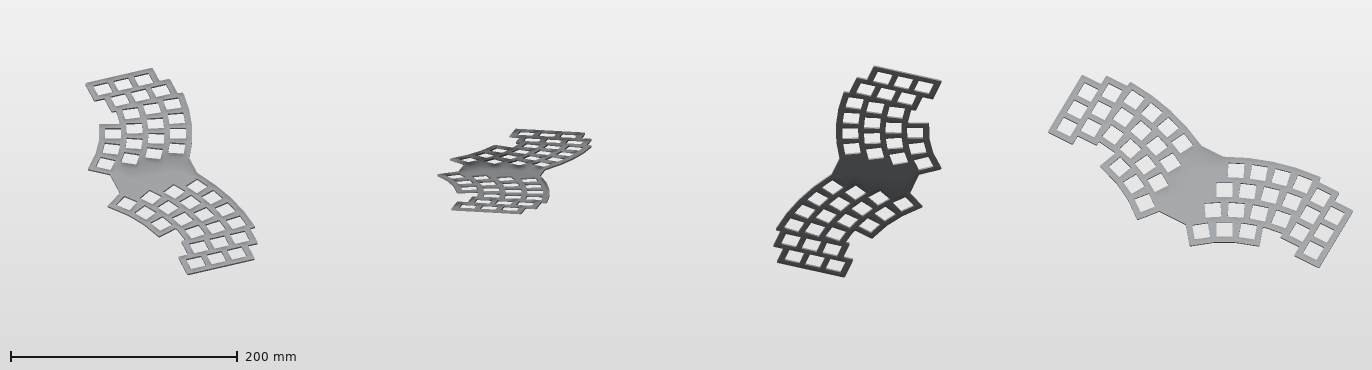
import cadquery as cq
import math


thickness = 1.5
plate_width = 272.7
outline_radius = 1.0

pitch = 19.05
pad_size = 25.0
hole_size = 14.0
hole_corner_radius = 0.3

curved_rows = 4
keys_per_row = 4
bottom_row_first_key = 2
top_row_radius = 180.8
crown_y = 44.0

straight_rows = 3
outer_column_x = -plate_width / 2 + pad_size / 2
inner_column_x = outer_column_x + pitch
inner_column_top_y = crown_y - pitch / 4
outer_column_top_y = inner_column_top_y - pitch / 2

arc_centre_x = inner_column_x
arc_centre_y = crown_y - top_row_radius

panel_top_y = 32.5
panel_bottom_y = -40.6

RIGHT = 0.0
TOP = math.pi / 2
LEFT = math.pi
BOTTOM = -math.pi / 2


def straight_column(x, top_y):
    """Places of the keys in one straight column, from the top down."""
    return [(x, top_y - row * pitch, 0.0) for row in range(straight_rows)]


def curved_row(row):
    """Places of the keys in one curved row; the inner corners of pitch-sized squares touch."""
    radius = top_row_radius - row * pitch
    step = 2 * math.atan2(pitch / 2, radius - pitch / 2)
    first_key = bottom_row_first_key if row == curved_rows - 1 else 1
    places = []
    for key in range(first_key, keys_per_row + 1):
        angle = key * step
        x = arc_centre_x + radius * math.sin(angle)
        y = arc_centre_y + radius * math.cos(angle)
        places.append((x, y, -angle))
    return places


def pad_side(place, side):
    """Line along one side of a key's pad: its normal's x and y, and its distance from the origin."""
    x, y, turn = place
    normal_x = math.cos(turn + side)
    normal_y = math.sin(turn + side)
    return normal_x, normal_y, x * normal_x + y * normal_y + pad_size / 2


def crossing(first, second):
    """Point where two lines, each given by normal and distance, cross."""
    ax, ay, a = first
    bx, by, b = second
    determinant = ax * by - ay * bx
    return (a * by - b * ay) / determinant, (ax * b - bx * a) / determinant


def left_outline(outer_column, inner_column, rows):
    """Corners of the left half, anticlockwise from the panel's top to its bottom."""
    top_row = rows[0]
    bottom_row = rows[-1]
    exposed_keys = rows[-2][:bottom_row_first_key]

    sides = [(0.0, 1.0, panel_top_y)]
    sides += [pad_side(place, TOP) for place in reversed(top_row)]
    sides.append(pad_side(top_row[0], LEFT))
    sides.append(pad_side(inner_column[0], TOP))
    sides.append(pad_side(inner_column[0], LEFT))
    sides.append(pad_side(outer_column[0], TOP))
    sides.append(pad_side(outer_column[0], LEFT))
    sides.append(pad_side(outer_column[-1], BOTTOM))
    sides.append(pad_side(outer_column[-1], RIGHT))
    sides.append(pad_side(inner_column[-1], BOTTOM))
    sides.append(pad_side(inner_column[-1], RIGHT))
    sides += [pad_side(place, BOTTOM) for place in exposed_keys]
    sides.append(pad_side(bottom_row[0], LEFT))
    sides += [pad_side(place, BOTTOM) for place in bottom_row]
    sides.append(pad_side(bottom_row[-1], RIGHT))
    sides.append((0.0, 1.0, panel_bottom_y))
    return [crossing(first, second) for first, second in zip(sides, sides[1:])]


def plate_blank(left_points):
    """The whole plate without openings, its outline corners rounded."""
    right_points = [(-x, y) for x, y in reversed(left_points)]
    blank = cq.Workplane("XY").polyline(left_points + right_points).close().extrude(thickness)
    return blank.edges("|Z").fillet(outline_radius)


def switch_opening(place):
    """Cutter for one switch opening with rounded corners."""
    x, y, turn = place
    cutter = cq.Workplane("XY").rect(hole_size, hole_size).extrude(thickness)
    cutter = cutter.edges("|Z").fillet(hole_corner_radius)
    return cutter.rotate((0, 0, 0), (0, 0, 1), math.degrees(turn)).translate((x, y, 0))


outer_column = straight_column(outer_column_x, outer_column_top_y)
inner_column = straight_column(inner_column_x, inner_column_top_y)
rows = [curved_row(row) for row in range(curved_rows)]

result = plate_blank(left_outline(outer_column, inner_column, rows))
for place in outer_column + inner_column + sum(rows, []):
    opening = switch_opening(place)
    result = result.cut(opening).cut(opening.mirror("YZ"))